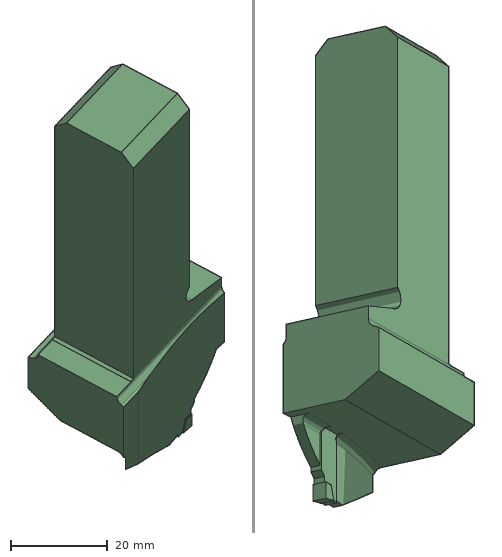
import cadquery as cq
import math

SHANK_WIDTH = 20.0
SHANK_HALF = SHANK_WIDTH / 2
TOP_Z = 101.5
TOP_CHAMFER = 3.0

HEAD_LENGTH = 37.4
FRONT_OVERHANG = 5.9
LEFT_OVERHANG = 2.5
HEAD_WIDTH = 24.3
FRONT_Y = -SHANK_HALF - FRONT_OVERHANG
BACK_Y = FRONT_Y + HEAD_LENGTH
LEFT_X = -SHANK_HALF - LEFT_OVERHANG
RIGHT_X = LEFT_X + HEAD_WIDTH
HEAD_BOTTOM_Z = 15.7
CORNER_WIDTH = 8.2
CORNER_HEIGHT = CORNER_WIDTH * math.tan(math.radians(30))

SHOULDER_Z = 31.3
SHOULDER_SLOPE = math.tan(math.radians(25))
SHOULDER_FILLET = 2.0

LEDGE_Z = 32.6
BEVEL_DEPTH = 0.8
BEVEL_HEIGHT = 0.3

BACK_EDGE_Z = 35.3
RELIEF_TOP_Z = 43.1
RELIEF_MIDDLE_Z = 40.8
RELIEF_DEPTH = 1.2
RELIEF_END_SETBACK = 0.8
BACK_SLOPE = math.tan(math.radians(15))

FLANK_FLAT = 5.3
FLANK_MIDDLE_Y = 2.1
FLANK_MIDDLE_X = SHANK_HALF + 0.5
FLANK_BACK_X = SHANK_HALF + 0.7

BLADE_FRONT_Y = FRONT_Y + 0.6
BLADE_INNER_X = 8.0
BLADE_ARC_MIDDLE_X = 9.5
BLADE_ARC_MIDDLE_Y = FRONT_Y + 10.2
BLADE_FRONT_Z = 10.8
BLADE_BOTTOM_Z = 1.2
BLADE_SLOPE_END_Y = FRONT_Y + 18.0
BLADE_BACK_TOP_Y = FRONT_Y + 34.7
BLADE_BACK_MIDDLE_Y = FRONT_Y + 30.7
BLADE_BACK_MIDDLE_Z = 10.0
BLADE_BACK_END_Z = 7.0
BLADE_FILLET = 1.7

PAD_FRONT_Y = FRONT_Y + 21.4
PAD_BACK_Y = FRONT_Y + 27.2
PAD_X = 7.7
PAD_STEP_Z = 6.0
PAD_BOTTOM_Z = 0.5
PAD_CHAMFER = 1.3

TIP_LEFT_X = 7.4
TIP_WIDTH = 3.1
TIP_BACK_Y = FRONT_Y + 26.0
TIP_TOP_FRONT_Y = FRONT_Y + 24.0
TIP_BOTTOM_FRONT_Y = FRONT_Y + 22.8
TIP_TOP_Z = 3.7
PAD_NECK_Z = 4.9


def shoulder_z(overhang):
    """Height of a shoulder's outer edge for the given overhang."""
    return SHOULDER_Z - overhang * SHOULDER_SLOPE


def across_y(points):
    """Prism along the whole head length from an X-Z outline."""
    sketch = cq.Workplane("XZ", origin=(0, BACK_Y, 0)).polyline(points).close()
    return sketch.extrude(HEAD_LENGTH)


def front_prism():
    """Shank and head as one X-Z outline, with rounded shoulder corners."""
    prism = across_y([
        (-SHANK_HALF + TOP_CHAMFER, TOP_Z),
        (SHANK_HALF - TOP_CHAMFER, TOP_Z),
        (SHANK_HALF, TOP_Z - TOP_CHAMFER),
        (SHANK_HALF, SHOULDER_Z),
        (RIGHT_X, shoulder_z(RIGHT_X - SHANK_HALF)),
        (RIGHT_X, HEAD_BOTTOM_Z),
        (LEFT_X + CORNER_WIDTH, HEAD_BOTTOM_Z),
        (LEFT_X, HEAD_BOTTOM_Z + CORNER_HEIGHT),
        (LEFT_X, shoulder_z(LEFT_OVERHANG)),
        (-SHANK_HALF, SHOULDER_Z),
        (-SHANK_HALF, TOP_Z - TOP_CHAMFER),
    ])
    for side in (-1, 1):
        corner = (side * SHANK_HALF, (FRONT_Y + BACK_Y) / 2, SHOULDER_Z)
        prism = prism.edges(cq.selectors.NearestToPointSelector(corner)).fillet(SHOULDER_FILLET)
    return prism


def side_prism():
    """Y-Z outline with the front ledge, sloping back and round relief."""
    relief_end_y = SHANK_HALF + RELIEF_END_SETBACK
    relief_end_z = BACK_EDGE_Z + (BACK_Y - relief_end_y) * BACK_SLOPE
    return (
        cq.Workplane("YZ", origin=(LEFT_X, 0, 0))
        .moveTo(FRONT_Y, HEAD_BOTTOM_Z)
        .lineTo(FRONT_Y, LEDGE_Z)
        .lineTo(-SHANK_HALF - BEVEL_DEPTH, LEDGE_Z)
        .lineTo(-SHANK_HALF, LEDGE_Z + BEVEL_HEIGHT)
        .lineTo(-SHANK_HALF, TOP_Z)
        .lineTo(SHANK_HALF, TOP_Z)
        .lineTo(SHANK_HALF, RELIEF_TOP_Z)
        .threePointArc((SHANK_HALF - RELIEF_DEPTH, RELIEF_MIDDLE_Z), (relief_end_y, relief_end_z))
        .lineTo(BACK_Y, BACK_EDGE_Z)
        .lineTo(BACK_Y, HEAD_BOTTOM_Z)
        .close()
        .extrude(HEAD_WIDTH)
    )


def flank_prism():
    """Full-height plan whose right side is flat in front and hollow behind."""
    return (
        cq.Workplane("XY")
        .moveTo(LEFT_X, FRONT_Y)
        .lineTo(RIGHT_X, FRONT_Y)
        .lineTo(RIGHT_X, FRONT_Y + FLANK_FLAT)
        .threePointArc((FLANK_MIDDLE_X, FLANK_MIDDLE_Y), (FLANK_BACK_X, BACK_Y))
        .lineTo(LEFT_X, BACK_Y)
        .close()
        .extrude(TOP_Z)
    )


def blade_plan():
    """Blade plan: a curved inner face that runs out at the front right edge."""
    return (
        cq.Workplane("XY")
        .moveTo(RIGHT_X, BLADE_FRONT_Y)
        .threePointArc((BLADE_ARC_MIDDLE_X, BLADE_ARC_MIDDLE_Y), (BLADE_INNER_X, PAD_FRONT_Y))
        .lineTo(BLADE_INNER_X, BACK_Y)
        .lineTo(RIGHT_X, BACK_Y)
        .close()
        .extrude(HEAD_BOTTOM_Z)
    )


def blade_side():
    """Blade Y-Z outline: sloping underside in front and a curved back edge."""
    return (
        cq.Workplane("YZ")
        .moveTo(FRONT_Y, HEAD_BOTTOM_Z)
        .lineTo(FRONT_Y, BLADE_FRONT_Z)
        .lineTo(BLADE_SLOPE_END_Y, BLADE_BOTTOM_Z)
        .lineTo(PAD_FRONT_Y, BLADE_BOTTOM_Z)
        .lineTo(PAD_FRONT_Y, PAD_BOTTOM_Z)
        .lineTo(TIP_BACK_Y, PAD_BOTTOM_Z)
        .lineTo(TIP_BACK_Y, PAD_NECK_Z)
        .lineTo(PAD_BACK_Y, PAD_STEP_Z)
        .lineTo(PAD_BACK_Y, BLADE_BACK_END_Z)
        .threePointArc((BLADE_BACK_MIDDLE_Y, BLADE_BACK_MIDDLE_Z), (BLADE_BACK_TOP_Y, HEAD_BOTTOM_Z))
        .close()
        .extrude(RIGHT_X)
    )


def pad_prism(start_x, end_x):
    """Pad outline between two X positions, with its upper back corner cut off."""
    return (
        cq.Workplane("YZ", origin=(start_x, 0, 0))
        .polyline([
            (PAD_FRONT_Y, PAD_BOTTOM_Z),
            (PAD_FRONT_Y, HEAD_BOTTOM_Z),
            (PAD_BACK_Y - PAD_CHAMFER, HEAD_BOTTOM_Z),
            (PAD_BACK_Y, HEAD_BOTTOM_Z - PAD_CHAMFER),
            (PAD_BACK_Y, PAD_STEP_Z),
            (TIP_BACK_Y, PAD_NECK_Z),
            (TIP_BACK_Y, PAD_BOTTOM_Z),
        ])
        .close()
        .extrude(end_x - start_x)
    )


def make_tip():
    """Small cutting tip, slightly wider than the blade at its lower end."""
    return (
        cq.Workplane("YZ", origin=(TIP_LEFT_X, 0, 0))
        .polyline([
            (TIP_BACK_Y, 0),
            (TIP_BACK_Y, TIP_TOP_Z),
            (TIP_TOP_FRONT_Y, TIP_TOP_Z),
            (TIP_BOTTOM_FRONT_Y, PAD_BOTTOM_Z),
        ])
        .close()
        .extrude(TIP_WIDTH)
    )


def make_holder(tip):
    """Shank, head and filleted blade, with the seat for the tip cut out."""
    head = front_prism().intersect(side_prism())
    blade = blade_plan().intersect(blade_side())
    holder = head.union(blade).intersect(flank_prism())
    root_band = cq.selectors.BoxSelector(
        (BLADE_INNER_X - BLADE_FILLET, FRONT_Y, HEAD_BOTTOM_Z - PAD_CHAMFER),
        (BLADE_ARC_MIDDLE_X + BLADE_FILLET, BLADE_BACK_MIDDLE_Y, HEAD_BOTTOM_Z + PAD_CHAMFER),
    )
    holder = holder.edges(root_band).fillet(BLADE_FILLET)
    holder = holder.cut(pad_prism(LEFT_X, PAD_X)).union(pad_prism(PAD_X, BLADE_INNER_X))
    return holder.cut(tip)


tip = make_tip()
holder = make_holder(tip)
result = cq.Compound.makeCompound([holder.val(), tip.val()])